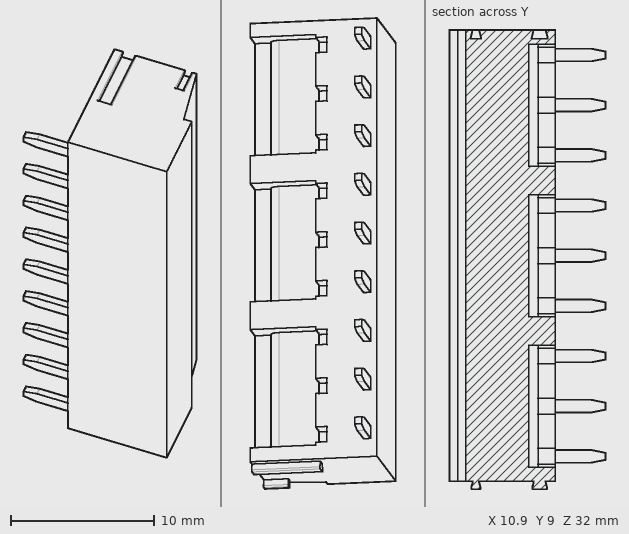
import cadquery as cq
import math

PIN_COUNT = 9
PITCH = 3.5
PIN_LENGTH = 3.5
PIN_WIDTH_Y = 0.5
PIN_WIDTH_Z = 0.9
PIN_TIP_WIDTH_Z = 0.5
PIN_TAPER_LENGTH = 1.0
PIN_CENTER_Y = 0.7

BODY_X = 7.4
BODY_Y = 9.0
BODY_Z = PIN_COUNT * PITCH
LEDGE_Y = 4.85
SLOPE_BOTTOM_X = 6.8
SLOPE_TOP_X = 6.15

PINS_PER_RECESS = 3
RECESS_COUNT = PIN_COUNT // PINS_PER_RECESS
RECESS_PITCH = PINS_PER_RECESS * PITCH
RIB_WIDTH = 2.0
RECESS_HEIGHT = RECESS_PITCH - RIB_WIDTH
RECESS_LENGTH = 4.65
RECESS_DEPTH = 1.2
STEP_LENGTH = 1.15
STEP_RADIUS = 0.65

POCKET_LENGTH = 0.8
POCKET_HEIGHT = 1.1
POCKET_DEPTH = 1.5

RAIL_HEIGHT = 0.55
GROOVE_DEPTH = 0.6
DOVETAIL_FLARE = 0.15
DOVETAIL_RADIUS = 0.1

DOVETAILS = [
    (1.1, 0.82, 4.85, 4.75),
    (5.55, 0.43, 1.75, 1.75),
]


def make_housing():
    return (
        cq.Workplane("XY")
        .moveTo(0, 0)
        .lineTo(BODY_X, 0)
        .lineTo(BODY_X, LEDGE_Y)
        .lineTo(SLOPE_BOTTOM_X, LEDGE_Y)
        .lineTo(SLOPE_TOP_X, BODY_Y)
        .lineTo(0, BODY_Y)
        .close()
        .extrude(BODY_Z)
    )


def make_pin(center_z):
    half = PIN_WIDTH_Z / 2
    tip_half = PIN_TIP_WIDTH_Z / 2
    taper_x = PIN_TAPER_LENGTH - PIN_LENGTH
    return (
        cq.Workplane("XZ", origin=(0, PIN_CENTER_Y, center_z))
        .moveTo(0, -half)
        .lineTo(0, half)
        .lineTo(taper_x, half)
        .lineTo(-PIN_LENGTH, tip_half)
        .lineTo(-PIN_LENGTH, -tip_half)
        .lineTo(taper_x, -half)
        .close()
        .extrude(PIN_WIDTH_Y / 2, both=True)
    )


def make_recess(bottom_z):
    """Recess whose floor rolls over a quarter round into a deeper strip."""
    deep_x = RECESS_DEPTH + STEP_RADIUS
    step_y = BODY_Y - STEP_LENGTH
    round_mid = STEP_RADIUS * math.sqrt(0.5)
    return (
        cq.Workplane("XY", origin=(0, 0, bottom_z))
        .moveTo(0, BODY_Y)
        .lineTo(deep_x, BODY_Y)
        .lineTo(deep_x, step_y)
        .threePointArc(
            (deep_x - round_mid, step_y - STEP_RADIUS + round_mid),
            (RECESS_DEPTH, step_y - STEP_RADIUS),
        )
        .lineTo(RECESS_DEPTH, BODY_Y - RECESS_LENGTH)
        .lineTo(0, BODY_Y - RECESS_LENGTH)
        .close()
        .extrude(RECESS_HEIGHT)
    )


def make_pocket(center_z):
    bottom_y = BODY_Y - RECESS_LENGTH - POCKET_LENGTH
    return (
        cq.Workplane("XY", origin=(0, bottom_y, center_z))
        .box(POCKET_DEPTH, POCKET_LENGTH, POCKET_HEIGHT, centered=(False, False, True))
    )


def make_dovetail(center_x, root_width, length, root_z, height):
    """Prism hanging down from root_z and widening downward, running in from the +Y side."""
    root_half = root_width / 2
    tip_half = root_half + DOVETAIL_FLARE
    return (
        cq.Workplane("XZ", origin=(center_x, BODY_Y, root_z))
        .moveTo(-root_half, 0)
        .lineTo(root_half, 0)
        .lineTo(tip_half, -height)
        .lineTo(-tip_half, -height)
        .close()
        .extrude(length)
    )


def add_rail(part, center_x, root_width, length):
    rail = make_dovetail(center_x, root_width, length, 0, RAIL_HEIGHT)
    rail = rail.faces("<Z").edges("|Y").fillet(DOVETAIL_RADIUS)
    return part.union(rail)


def cut_groove(part, center_x, root_width, length):
    """Undercut groove whose two long mouth edges are rounded."""
    part = part.cut(make_dovetail(center_x, root_width, length, BODY_Z, GROOVE_DEPTH))
    middle_y = BODY_Y - length / 2
    reach = root_width / 2 + DOVETAIL_RADIUS / 2
    mouth = cq.selectors.BoxSelector(
        (center_x - reach, middle_y - length / 4, BODY_Z - DOVETAIL_RADIUS),
        (center_x + reach, middle_y + length / 4, BODY_Z + DOVETAIL_RADIUS),
    )
    return part.edges(mouth).fillet(DOVETAIL_RADIUS)


result = make_housing()

for index in range(RECESS_COUNT):
    result = result.cut(make_recess(index * RECESS_PITCH + RIB_WIDTH / 2))

for index in range(PIN_COUNT):
    pin_z = (index + 0.5) * PITCH
    result = result.cut(make_pocket(pin_z))
    result = result.union(make_pin(pin_z))

for center_x, root_width, rail_length, groove_length in DOVETAILS:
    result = cut_groove(result, center_x, root_width, groove_length)
    result = add_rail(result, center_x, root_width, rail_length)